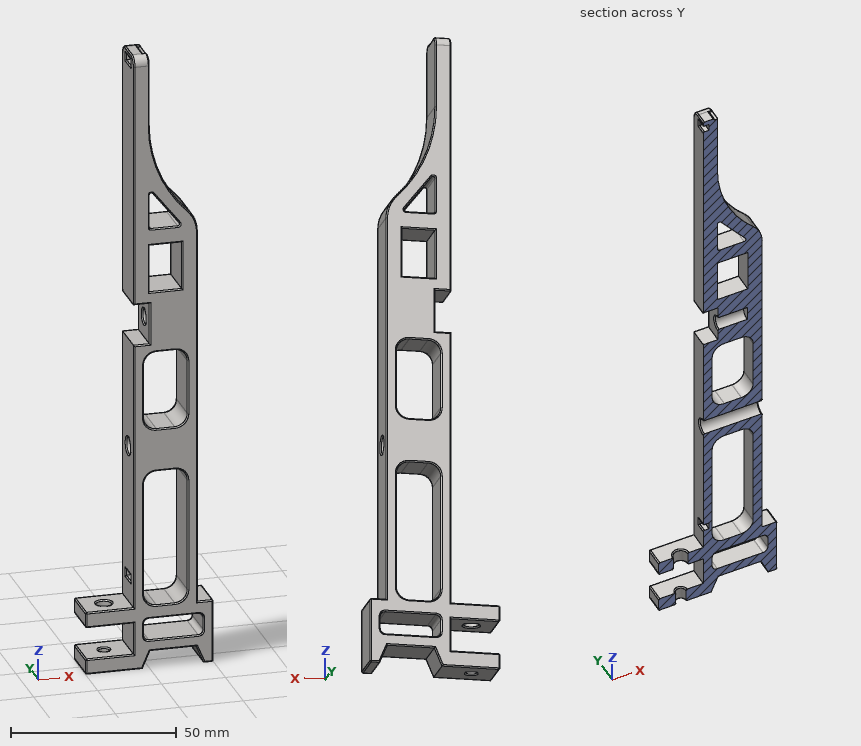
import cadquery as cq
import math

height = 198.0
depth = 13.0
mid_y = depth / 2

bar_width = 20.0
tip_width = 5.0
blend_radius = 40.0
shoulder_radius = 10.0
blend_top_z = 175.6
tip_round = 3.0
ledge_width = 1.5
ledge_drop = 0.5
ledge_slope_run = 0.5

edge_chamfer = 0.4

foot_height = 20.0
lug_length = 15.0
lug_thickness = 5.0
flange_right = 25.0
notch_depth = 5.5
notch_bottom_left, notch_bottom_right = 2.8, 22.0
notch_slope_run = 2.4

side_notch_depth = 5.0
side_notch_bottom, side_notch_top = 105.0, 118.0
side_notch_mid = (side_notch_bottom + side_notch_top) / 2

foot_window = (3.2, 21.8, 9.1, 16.0, 1.5)
long_window = (3.2, 16.8, 20.2, 63.5, 4.0)
middle_window = (3.2, 16.8, 77.2, 102.2, 4.0)
small_window = (5.0, 15.0, 121.8, 136.8, 0.0)
triangle_bottom, triangle_top = 142.2, 154.8
triangle_left, triangle_right = 5.0, 15.0
triangle_round = 0.5

upper_lug_hole_diameter = 4.8
lower_lug_hole_diameter = 3.4
cross_hole_diameter = 5.3
cross_hole_z = 70.0
notch_hole_diameter = 4.8
notch_hole_depth = 9.9

slot_width = 6.0
slot_height = 2.2
slot_depth = 2.0
slot_heights = (28.1, 195.0)


def extrude_profile(sketch):
    """Extrude an XZ outline through the full depth, from Y = 0 to Y = depth."""
    return sketch.extrude(-depth)


def body():
    """Upright bar and foot as one outline."""
    blend_x = tip_width + blend_radius
    shoulder_x = bar_width - shoulder_radius
    centre_distance = blend_radius + shoulder_radius
    angle = math.acos((blend_x - shoulder_x) / centre_distance)
    shoulder_z = blend_top_z - centre_distance * math.sin(angle)

    def on_blend(a):
        return (blend_x - blend_radius * math.cos(a), blend_top_z - blend_radius * math.sin(a))

    def on_shoulder(a):
        return (shoulder_x + shoulder_radius * math.cos(a), shoulder_z + shoulder_radius * math.sin(a))

    return extrude_profile(
        cq.Workplane("XZ")
        .moveTo(-lug_length, 0)
        .lineTo(notch_bottom_left, 0)
        .lineTo(notch_bottom_left + notch_slope_run, notch_depth)
        .lineTo(notch_bottom_right - notch_slope_run, notch_depth)
        .lineTo(notch_bottom_right, 0)
        .lineTo(flange_right, 0)
        .lineTo(flange_right, foot_height)
        .lineTo(bar_width, foot_height)
        .lineTo(bar_width, shoulder_z)
        .threePointArc(on_shoulder(angle / 2), on_shoulder(angle))
        .threePointArc(on_blend(angle / 2), on_blend(0))
        .lineTo(tip_width, height)
        .lineTo(0, height)
        .lineTo(0, side_notch_top)
        .lineTo(side_notch_depth, side_notch_top)
        .lineTo(side_notch_depth, side_notch_bottom)
        .lineTo(0, side_notch_bottom)
        .lineTo(0, foot_height)
        .lineTo(-lug_length, foot_height)
        .lineTo(-lug_length, foot_height - lug_thickness)
        .lineTo(0, foot_height - lug_thickness)
        .lineTo(0, lug_thickness)
        .lineTo(-lug_length, lug_thickness)
        .close()
    )


def window(left, right, bottom, top, corner_radius):
    """Rectangular opening through the depth."""
    opening = cq.Workplane("XY").box(right - left, depth, top - bottom, centered=False)
    if corner_radius > 0:
        opening = opening.edges("|Y").fillet(corner_radius)
    return opening.translate((left, 0, bottom))


def triangle_window():
    """Triangular opening below the blend."""
    opening = extrude_profile(
        cq.Workplane("XZ")
        .moveTo(triangle_left, triangle_bottom)
        .lineTo(triangle_right, triangle_bottom)
        .lineTo(triangle_left, triangle_top)
        .close()
    )
    return opening.edges("|Y").fillet(triangle_round)


def break_edges(part):
    """Chamfer the front and back outlines and the outer corners of the foot."""
    seams = part.faces("<Y or >Y").edges(">Z and |X")
    outlines = part.faces("<Y or >Y").edges().vals()
    outlines = [edge for edge in outlines if not any(edge.isSame(seam) for seam in seams.vals())]
    foot_corners = part.faces("<X or >X").edges("|Y").vals()
    return part.newObject(outlines + foot_corners).chamfer(edge_chamfer)


def tip_ledge():
    """Cutter for the ledge between the tip rounds."""
    start_x = tip_width - ledge_width
    ledge_z = height - ledge_drop
    ledge = (
        cq.Workplane("XZ")
        .moveTo(start_x, height)
        .lineTo(start_x + ledge_slope_run, ledge_z)
        .lineTo(tip_width, ledge_z)
        .lineTo(tip_width, height)
        .close()
        .extrude(-(depth - 2 * tip_round))
    )
    return ledge.translate((0, tip_round, 0))


def round_hole(start, direction, diameter, length, open_end):
    """Hole cutter with a chamfered rim at its start, and at its far end if that is open."""
    start = cq.Vector(*start)
    direction = cq.Vector(*direction)
    radius = diameter / 2
    rim_radius = radius + edge_chamfer
    cutter = cq.Workplane(cq.Solid.makeCylinder(radius, length, start, direction))
    cutter = cutter.union(cq.Workplane(cq.Solid.makeCone(rim_radius, radius, edge_chamfer, start, direction)))
    if open_end:
        end = start + direction * length
        far_rim = cq.Solid.makeCone(rim_radius, radius, edge_chamfer, end, direction * -1)
        cutter = cutter.union(cq.Workplane(far_rim))
    return cutter


def lug_hole(diameter, top):
    """Vertical hole through the lug whose upper face is at the given height."""
    return round_hole((-lug_length / 2, mid_y, top), (0, 0, -1), diameter, lug_thickness, True)


def slot(z):
    """Shallow slot with a chamfered rim in the left face."""
    pocket = cq.Workplane("XY").box(slot_depth, slot_width, slot_height, centered=(False, True, True))
    rim = (
        cq.Workplane("YZ")
        .rect(slot_width + 2 * edge_chamfer, slot_height + 2 * edge_chamfer)
        .workplane(offset=edge_chamfer)
        .rect(slot_width, slot_height)
        .loft(ruled=True)
    )
    return pocket.union(rim).translate((0, mid_y, z))


result = body()

for sizes in (foot_window, long_window, middle_window, small_window):
    result = result.cut(window(*sizes))
result = result.cut(triangle_window())

result = result.edges(">Z and |X").fillet(tip_round)
result = break_edges(result)
result = result.cut(tip_ledge())

result = result.cut(lug_hole(upper_lug_hole_diameter, foot_height))
result = result.cut(lug_hole(lower_lug_hole_diameter, lug_thickness))

cross_hole = round_hole((0, mid_y, cross_hole_z), (1, 0, 0), cross_hole_diameter, bar_width, True)
notch_hole_start = (side_notch_depth, mid_y, side_notch_mid)
notch_hole = round_hole(notch_hole_start, (1, 0, 0), notch_hole_diameter, notch_hole_depth, False)
result = result.cut(cross_hole).cut(notch_hole)

for slot_z in slot_heights:
    result = result.cut(slot(slot_z))